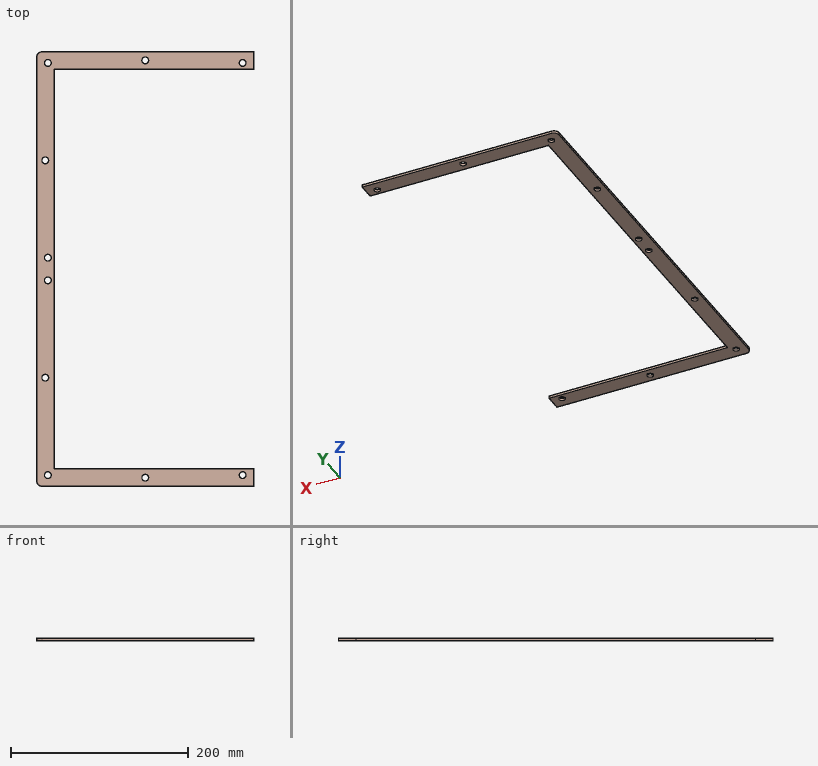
import cadquery as cq

depth = 244.5
length = 489.0
thickness = 3.2
bar_width = 20.0
corner_radius = 6.5

hole_diameter = 7.5
joint_inset = 12.5
middle_inset = 10.0


def frame_blank():
    """U-shaped plate, open towards +X, with rounded outer corners."""
    plate = cq.Workplane("XY").box(depth, length, thickness)
    plate = plate.edges("|Z and <X").fillet(corner_radius)
    opening = (
        cq.Workplane("XY")
        .box(depth, length - 2 * bar_width, thickness)
        .translate((bar_width, 0, 0))
    )
    return plate.cut(opening)


def hole_centres():
    """Hole centres, mirrored about the XZ plane."""
    upper_half = [
        (-depth / 2 + joint_inset, length / 2 - joint_inset),
        (depth / 2 - joint_inset, length / 2 - joint_inset),
        (-depth / 2 + joint_inset, joint_inset),
        (0, length / 2 - middle_inset),
        (-depth / 2 + middle_inset, length / 4),
    ]
    return [(x, side * y) for x, y in upper_half for side in (1, -1)]


result = (
    frame_blank()
    .faces(">Z")
    .workplane(origin=(0, 0, 0))
    .pushPoints(hole_centres())
    .hole(hole_diameter)
)